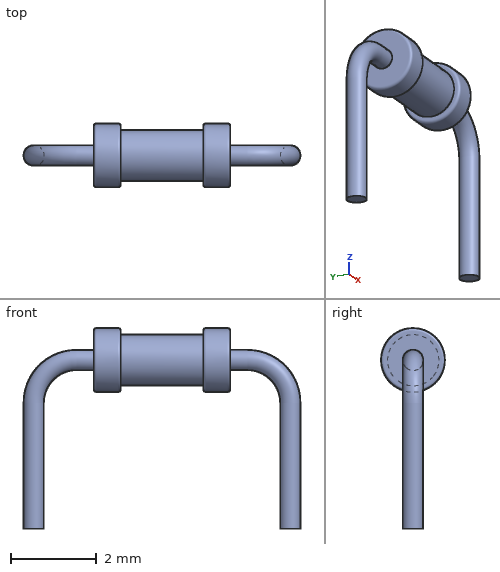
import cadquery as cq

lead_spacing = 6.0
lead_diameter = 0.48
bend_radius = 1.0
cap_diameter = 1.5
cap_length = 0.64
cap_edge_radius = 0.07
core_diameter = 1.2
body_length = 3.2
overall_height = 4.7

lead_x = lead_spacing / 2
lead_tip_z = cap_diameter / 2 - overall_height
cap_center_x = (body_length - cap_length) / 2


def make_cylinder(diameter, length, center_x):
    """Cylinder along X whose middle sits at center_x."""
    start = cq.Workplane("YZ", origin=(center_x - length / 2, 0, 0))
    return start.circle(diameter / 2).extrude(length)


def make_core():
    """Cylindrical core between the caps, reaching their middles."""
    return make_cylinder(core_diameter, 2 * cap_center_x, 0)


def make_cap(side):
    """End cap with both rims rounded; side is -1 or +1 along X."""
    cap = make_cylinder(cap_diameter, cap_length, side * cap_center_x)
    return cap.edges("%CIRCLE").fillet(cap_edge_radius)


def make_lead(side):
    """Round wire rising from its tip, then bent a quarter turn into the cap."""
    path = (
        cq.Workplane("XZ")
        .moveTo(side * lead_x, lead_tip_z)
        .lineTo(side * lead_x, -bend_radius)
        .tangentArcPoint((side * (lead_x - bend_radius), 0), relative=False)
        .lineTo(side * cap_center_x, 0)
    )
    tip = cq.Workplane("XY", origin=(side * lead_x, 0, lead_tip_z)).circle(lead_diameter / 2)
    return tip.sweep(path)


result = make_core()
for end in (-1, 1):
    result = result.union(make_cap(end)).union(make_lead(end))